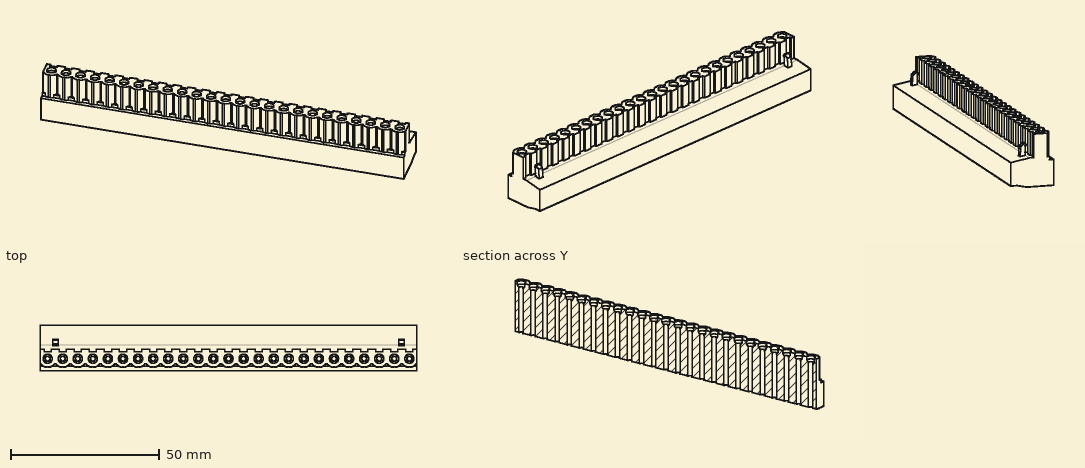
import cadquery as cq

length = 126.9
depth = 15.4
height = 18.1
poles = 25
pitch = length / poles

base_height = 8.9
deck_height = 10.0
deck_back = 8.8
underside_rise = 0.8
underside_ramp_front = 9.6
underside_ramp_back = 13.1
ledge_front = 1.5

tower_back = 7.2
valley_front = 2.3
hole_y = 4.0
lobe_radius = 2.9
lobe_groove_width = 0.6
lobe_groove_depth = 0.1
lobe_root = hole_y - valley_front

notch_width = 2.4
notch_depth = 0.8

counterbore_diameter = 3.0
hole_diameter = 1.6
funnel_depth = 0.8
counterbore_depth = 1.1

latch_width = 1.8
latch_inset = 4.3
latch_top = 14.2
latch_front = deck_back
latch_foot_back = 10.7
latch_shoulder_back = 10.3
latch_shoulder_height = 13.2
latch_tip_back = 9.1
barb_depth = 0.4
barb_height = 13.5

pole_points = [(pitch * (i + 0.5), hole_y) for i in range(poles)]


def make_body():
    """Base and tower as one side profile extruded along the length."""
    profile = [
        (0, 0),
        (0, base_height),
        (ledge_front, base_height),
        (ledge_front, deck_height),
        (valley_front, deck_height),
        (valley_front, height),
        (tower_back, height),
        (tower_back, deck_height),
        (deck_back, deck_height),
        (depth, base_height),
        (depth, underside_rise),
        (underside_ramp_back, underside_rise),
        (underside_ramp_front, 0),
    ]
    return cq.Workplane("YZ").polyline(profile).close().extrude(length)


def make_lobes():
    """Round columns on the front of the tower, each with a shallow vertical groove."""
    column_height = height - base_height
    column = cq.Workplane("XY").circle(lobe_radius).extrude(column_height)
    front_strip = (
        cq.Workplane("XY")
        .center(0, -lobe_radius)
        .rect(pitch, 2 * (lobe_radius - lobe_root))
        .extrude(column_height)
    )
    groove = (
        cq.Workplane("XY")
        .center(0, -lobe_radius)
        .rect(lobe_groove_width, 2 * lobe_groove_depth)
        .extrude(column_height)
    )
    lobe = column.intersect(front_strip).cut(groove).val()
    places = cq.Workplane("XY", origin=(0, 0, base_height)).pushPoints(pole_points)
    return places.eachpoint(lambda place: lobe.moved(place))


def make_notches():
    """Rectangular cutters for the rear face of the tower, down to the deck."""
    notch_points = [(x, tower_back) for x, _ in pole_points]
    return (
        cq.Workplane("XY", origin=(0, 0, deck_height))
        .pushPoints(notch_points)
        .rect(notch_width, 2 * notch_depth)
        .extrude(height - deck_height)
    )


def make_holes():
    """Through holes, each with a counterbore whose floor is a conical funnel."""
    profile = [
        (0, 0),
        (hole_diameter / 2, 0),
        (hole_diameter / 2, height - counterbore_depth - funnel_depth),
        (counterbore_diameter / 2, height - counterbore_depth),
        (counterbore_diameter / 2, height),
        (0, height),
    ]
    hole = cq.Workplane("XZ").polyline(profile).close().revolve(360, (0, 0), (0, 1)).val()
    return cq.Workplane("XY").pushPoints(pole_points).eachpoint(lambda place: hole.moved(place))


def make_latch(x_start):
    """Hook standing on the sloping deck, rooted in the base, with a barb facing the tower."""
    profile = [
        (latch_front, base_height),
        (latch_front, latch_shoulder_height),
        (latch_front - barb_depth, barb_height),
        (latch_front, latch_top),
        (latch_tip_back, latch_top),
        (latch_shoulder_back, latch_shoulder_height),
        (latch_foot_back, base_height),
    ]
    return (
        cq.Workplane("YZ", origin=(x_start, 0, 0))
        .polyline(profile)
        .close()
        .extrude(latch_width)
    )


result = make_body().union(make_lobes()).cut(make_notches()).cut(make_holes())
for x_start in (latch_inset, length - latch_inset - latch_width):
    result = result.union(make_latch(x_start))